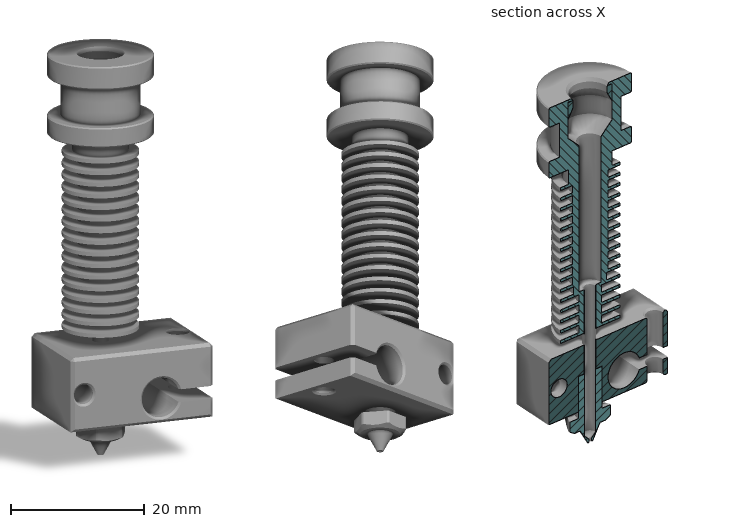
import cadquery as cq
import math

OVERALL_HEIGHT = 62.3
FLANGE_DIA = 16.0

ORIFICE_DIA = 0.4
TIP_DIA = 1.0
TIP_CONE_DIA = 3.85
HEX_UNDERSIDE_DIA = 6.0
HEX_FLATS = 7.0
HEX_ROUNDED_DIA = 7.85
HEX_CHAMFER_HEIGHT = 0.55
SHANK_DIA = 4.7
TIP_HEIGHT = 2.7
HEX_HEIGHT = 2.4
SHANK_LENGTH = 7.5
ORIFICE_LENGTH = 0.6
hex_top = TIP_HEIGHT + HEX_HEIGHT
nozzle_top = hex_top + SHANK_LENGTH

TUBE_DIA = 2.4
FILAMENT_BORE_DIA = 2.0
tube_wall = (TUBE_DIA - FILAMENT_BORE_DIA) / 2

BLOCK_LENGTH = 23.0
BLOCK_HEIGHT = 11.5
BLOCK_CHAMFER = 0.5
HOLE_CHAMFER = 0.3
block_width = FLANGE_DIA
BLOCK_BASE = 6.15
block_top = BLOCK_BASE + BLOCK_HEIGHT
block_front = -FLANGE_DIA / 2
block_back = block_front + BLOCK_LENGTH
HEATER_DIA = 6.1
HEATER_Y = 6.55
HEATER_DEPTH = 7.6
heater_z = block_top - HEATER_DEPTH
CLAMP_SLOT_HEIGHT = 2.0
SENSOR_DIA = 3.05
SENSOR_Y = -6.0
sensor_z = BLOCK_BASE + BLOCK_HEIGHT / 2
CLAMP_SCREW_DIA = 3.0
CLAMP_SCREW_Y = 12.5

FIN_COUNT = 16
FIN_DIA = 11.6
FIN_THICKNESS = 0.6
FIN_GAP_ABOVE_BLOCK = 2.0
LOWER_CORE_DIA = 4.4
MIDDLE_CORE_DIA = 6.5
UPPER_CORE_DIA = 7.0
LOWER_CORE_FIN = 4
MIDDLE_CORE_FIN = 5
NECK_DIA = 8.5
NECK_LENGTH = 2.5
GROOVE_DIA = 11.95
TOP_FLANGE_HEIGHT = 3.5
GROOVE_HEIGHT = 6.0
LOWER_FLANGE_HEIGHT = 3.0
FLANGE_CHAMFER = 0.2
heatsink_base = block_top + FIN_GAP_ABOVE_BLOCK
top_flange_base = OVERALL_HEIGHT - TOP_FLANGE_HEIGHT
lower_flange_top = top_flange_base - GROOVE_HEIGHT
lower_flange_base = lower_flange_top - LOWER_FLANGE_HEIGHT
neck_base = lower_flange_base - NECK_LENGTH
fin_pitch = (neck_base - FIN_THICKNESS - heatsink_base) / (FIN_COUNT - 1)


def fin_base(index):
    """Underside height of a fin, counted upwards from 0."""
    return heatsink_base + index * fin_pitch


LINER_BORE_DIA = 4.1
MOUTH_DIA = 7.2
MOUTH_DEPTH = 0.55
COUPLING_BORE_DIA = 8.4
COUPLING_BORE_DEPTH = 6.85
DRILL_POINT_ANGLE = 90.0
liner_bore_floor = fin_base(LOWER_CORE_FIN) + FIN_THICKNESS
coupling_bore_floor = OVERALL_HEIGHT - COUPLING_BORE_DEPTH

RING_THROAT_DIA = 6.5
RING_LENGTH = 3.0
RING_FLARE_LENGTH = 1.8
ring_top = OVERALL_HEIGHT - MOUTH_DEPTH


def cylinder(diameter, base, top):
    return cq.Workplane("XY", origin=(0, 0, base)).circle(diameter / 2).extrude(top - base)


def turned(profile):
    """Solid of revolution about Z from (diameter, z) points."""
    points = [(diameter / 2, z) for diameter, z in profile]
    return cq.Workplane("XZ").polyline(points).close().revolve(360, (0, 0, 0), (0, 1, 0))


def chamfered_disc(diameter, base, top, chamfer):
    return cylinder(diameter, base, top).edges().chamfer(chamfer)


def make_nozzle():
    hexagon = (
        cq.Workplane("XY")
        .polygon(6, HEX_FLATS / math.cos(math.pi / 6))
        .extrude(hex_top)
        .rotate((0, 0, 0), (0, 0, 1), 30)
    )
    hex_envelope = turned([
        (0, TIP_HEIGHT),
        (HEX_UNDERSIDE_DIA, TIP_HEIGHT),
        (HEX_ROUNDED_DIA, TIP_HEIGHT + HEX_CHAMFER_HEIGHT),
        (HEX_ROUNDED_DIA, hex_top),
        (0, hex_top),
    ])
    tip = turned([(0, 0), (TIP_DIA, 0), (TIP_CONE_DIA, TIP_HEIGHT), (0, TIP_HEIGHT)])
    shank = cylinder(SHANK_DIA, hex_top, nozzle_top)
    bore_cone_height = (FILAMENT_BORE_DIA - ORIFICE_DIA) / 2
    bore = turned([
        (0, 0),
        (ORIFICE_DIA, 0),
        (ORIFICE_DIA, ORIFICE_LENGTH),
        (FILAMENT_BORE_DIA, ORIFICE_LENGTH + bore_cone_height),
        (FILAMENT_BORE_DIA, nozzle_top),
        (0, nozzle_top),
    ])
    return hexagon.intersect(hex_envelope).union(tip).union(shank).cut(bore)


def make_heat_break():
    """Tube from the nozzle to the liner bore, with a full-wall lead-in at the top."""
    return turned([
        (FILAMENT_BORE_DIA, nozzle_top),
        (TUBE_DIA, nozzle_top),
        (TUBE_DIA, liner_bore_floor),
        (FILAMENT_BORE_DIA, liner_bore_floor - tube_wall),
    ])


def chamfered_hole(diameter, length):
    """Cutter along Z, centred on the origin, widened at both ends."""
    half = length / 2
    wide = diameter + 2 * HOLE_CHAMFER
    return turned([
        (0, -half),
        (wide, -half),
        (diameter, -half + HOLE_CHAMFER),
        (diameter, half - HOLE_CHAMFER),
        (wide, half),
        (0, half),
    ])


def cross_hole(diameter, y, z):
    """Chamfered cutter along X through the block."""
    cutter = chamfered_hole(diameter, block_width)
    return cutter.rotate((0, 0, 0), (0, 1, 0), 90).translate((0, y, z))


def make_heater_block():
    middle_y = (block_front + block_back) / 2
    middle_z = BLOCK_BASE + BLOCK_HEIGHT / 2
    block = cq.Workplane("XY").box(block_width, BLOCK_LENGTH, BLOCK_HEIGHT)
    block = block.edges("|Y or |Z or (|X and >Z)").chamfer(BLOCK_CHAMFER)
    block = block.translate((0, middle_y, middle_z))

    slot_length = block_back - HEATER_Y
    slot = (
        cq.Workplane("XY")
        .box(block_width, slot_length, CLAMP_SLOT_HEIGHT)
        .translate((0, HEATER_Y + slot_length / 2, heater_z))
    )
    clamp_screw = chamfered_hole(CLAMP_SCREW_DIA, BLOCK_HEIGHT).translate((0, CLAMP_SCREW_Y, middle_z))
    return (
        block.cut(cross_hole(HEATER_DIA, HEATER_Y, heater_z))
        .cut(slot)
        .cut(cross_hole(SENSOR_DIA, SENSOR_Y, sensor_z))
        .cut(clamp_screw)
        .cut(cylinder(SHANK_DIA, BLOCK_BASE, nozzle_top))
        .cut(cylinder(TUBE_DIA, nozzle_top, block_top))
    )


def make_heatsink():
    middle_core_base = fin_base(LOWER_CORE_FIN)
    upper_core_base = fin_base(MIDDLE_CORE_FIN)
    body = (
        cylinder(LOWER_CORE_DIA, heatsink_base, middle_core_base)
        .union(cylinder(MIDDLE_CORE_DIA, middle_core_base, upper_core_base))
        .union(cylinder(UPPER_CORE_DIA, upper_core_base, neck_base))
        .union(cylinder(NECK_DIA, neck_base, lower_flange_base))
        .union(chamfered_disc(FLANGE_DIA, lower_flange_base, lower_flange_top, FLANGE_CHAMFER))
        .union(cylinder(GROOVE_DIA, lower_flange_top, top_flange_base))
        .union(chamfered_disc(FLANGE_DIA, top_flange_base, OVERALL_HEIGHT, FLANGE_CHAMFER))
    )
    for index in range(FIN_COUNT):
        body = body.union(cylinder(FIN_DIA, fin_base(index), fin_base(index) + FIN_THICKNESS))

    half_angle = math.radians(DRILL_POINT_ANGLE / 2)
    cone_height = (COUPLING_BORE_DIA - LINER_BORE_DIA) / 2 / math.tan(half_angle)
    bore = turned([
        (0, heatsink_base),
        (TUBE_DIA, heatsink_base),
        (TUBE_DIA, liner_bore_floor),
        (LINER_BORE_DIA, liner_bore_floor),
        (LINER_BORE_DIA, coupling_bore_floor - cone_height),
        (COUPLING_BORE_DIA, coupling_bore_floor),
        (COUPLING_BORE_DIA, ring_top),
        (RING_THROAT_DIA, ring_top),
        (MOUTH_DIA, OVERALL_HEIGHT),
        (0, OVERALL_HEIGHT),
    ])
    return body.cut(bore)


def make_coupling_ring():
    """Ring with a straight throat that flares out to its full diameter at the lower end."""
    ring_base = ring_top - RING_LENGTH
    return turned([
        (COUPLING_BORE_DIA, ring_base),
        (COUPLING_BORE_DIA, ring_top),
        (RING_THROAT_DIA, ring_top),
        (RING_THROAT_DIA, ring_base + RING_FLARE_LENGTH),
    ])


nozzle = make_nozzle()
heat_break = make_heat_break()
heater_block = make_heater_block()
heatsink = make_heatsink()
coupling_ring = make_coupling_ring()

result = cq.Compound.makeCompound([
    nozzle.val(),
    heat_break.val(),
    heater_block.val(),
    heatsink.val(),
    coupling_ring.val(),
])